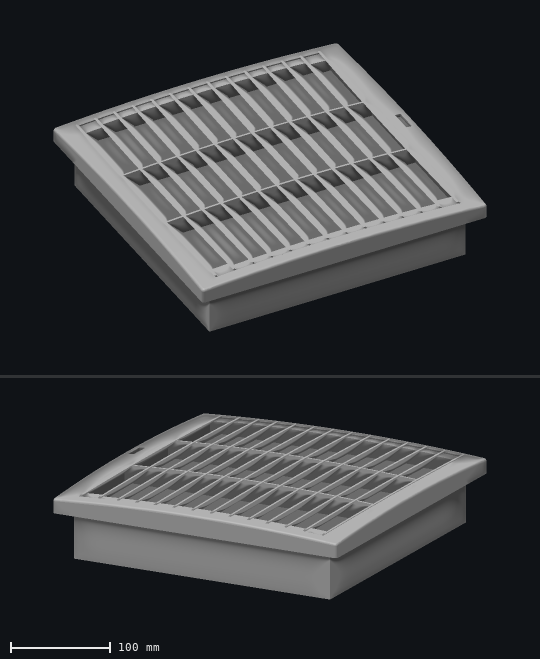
import cadquery as cq
import math

COVER_SIDE = 322.0
TOTAL_HEIGHT = 79.2

HOUSING_SIDE = 289.8
HOUSING_HEIGHT = 53.8

BLADE_PROJECTION = 2.3
DOME_RADIUS = 2221.8
CORNER_RADIUS = 3.2
RIM_FILLET = 3.0
COVER_BASE = 50.0
DOME_CENTRE = TOTAL_HEIGHT - BLADE_PROJECTION - DOME_RADIUS

WELL_HALF_WIDTH = 139.0
WELL_BACK = 139.5
LEDGE_HALF_WIDTH = 149.0
LEDGE_DEPTH = 1.45
CORNER_BLOCK_WIDTH = 4.5

BLADE_COUNT = 14
FIRST_TIP = 129.5
LAST_TIP = -144.3
BLADE_WIDTH_ALONG_Y = 2.3
BLADE_DEPTH = 15.0
BLADE_PITCH = (FIRST_TIP - LAST_TIP) / (BLADE_COUNT - 1)
BLADE_TIPS = [FIRST_TIP - i * BLADE_PITCH for i in range(BLADE_COUNT)]

RIB_X = 46.5
RIB_THICKNESS = 2.3

NOTCH_LENGTH = 24.0
NOTCH_BACK = 154.0
NOTCH_WIDTH = 6.5
NOTCH_FLOOR = 68.3


def dome_ball(offset):
    """Ball concentric with the dome, larger than it by the offset."""
    return cq.Workplane("XY", origin=(0, 0, DOME_CENTRE)).sphere(DOME_RADIUS + offset)


def dome_height(y, offset=0.0):
    """Height of an offset dome at mid-width."""
    return DOME_CENTRE + math.sqrt((DOME_RADIUS + offset) ** 2 - y**2)


def face_point(tip, z, shift=0.0):
    """Point (y, z) on the 45-degree upper face of a blade, shifted along Y."""
    return (tip + dome_height(tip, BLADE_PROJECTION) - z + shift, z)


def prism(outline, half_width):
    """Y-Z outline extruded along X to both sides of the middle."""
    return cq.Workplane("YZ").polyline(outline).close().extrude(half_width, both=True)


def slanted_prism(back_tip, front_tip, half_width, extra_width=0.0):
    """Space between two blade faces, from the housing up, widened towards -Y by an extra width."""
    outline = [
        face_point(back_tip, HOUSING_HEIGHT),
        face_point(back_tip, TOTAL_HEIGHT),
        face_point(front_tip, TOTAL_HEIGHT, -extra_width),
        face_point(front_tip, HOUSING_HEIGHT, -extra_width),
    ]
    return prism(outline, half_width)


def make_housing():
    return cq.Workplane("XY").rect(HOUSING_SIDE, HOUSING_SIDE).extrude(HOUSING_HEIGHT)


def make_blank():
    """Rounded square plate with a domed top and a filleted rim."""
    plate = (
        cq.Workplane("XY", origin=(0, 0, COVER_BASE))
        .rect(COVER_SIDE, COVER_SIDE)
        .extrude(TOTAL_HEIGHT - COVER_BASE)
        .edges("|Z")
        .fillet(CORNER_RADIUS)
    )
    return plate.intersect(dome_ball(0)).faces(">Z").edges().fillet(RIM_FILLET)


def well_section(half_width):
    """Space of the well: a vertical back below the first blade, and a front along the last blade."""
    first_blade_drop = WELL_BACK - face_point(FIRST_TIP, TOTAL_HEIGHT)[0]
    outline = [
        (WELL_BACK, HOUSING_HEIGHT),
        (WELL_BACK, TOTAL_HEIGHT - first_blade_drop),
        face_point(FIRST_TIP, TOTAL_HEIGHT),
        face_point(LAST_TIP, TOTAL_HEIGHT),
        face_point(LAST_TIP, HOUSING_HEIGHT),
    ]
    return prism(outline, half_width)


def make_corner_blocks():
    """Blocks that narrow the first and the last gap between blades at both ends."""
    first_gap = slanted_prism(BLADE_TIPS[0], BLADE_TIPS[1], WELL_HALF_WIDTH)
    last_gap = slanted_prism(BLADE_TIPS[-2], BLADE_TIPS[-1], WELL_HALF_WIDTH)
    middle_width = 2 * (WELL_HALF_WIDTH - CORNER_BLOCK_WIDTH)
    middle = cq.Workplane("XY").rect(middle_width, COVER_SIDE).extrude(TOTAL_HEIGHT)
    return first_gap.union(last_gap).cut(middle)


def make_ledges():
    """Shallow recess between the first and the last blade, wider than the well."""
    return slanted_prism(FIRST_TIP, LAST_TIP, LEDGE_HALF_WIDTH).cut(dome_ball(-LEDGE_DEPTH))


def make_notch():
    """Wedge-shaped pocket cut down into the rear rim."""
    outline = [
        (NOTCH_BACK, TOTAL_HEIGHT),
        (NOTCH_BACK, NOTCH_FLOOR),
        (NOTCH_BACK - NOTCH_WIDTH / 2, NOTCH_FLOOR),
        (NOTCH_BACK - NOTCH_WIDTH, dome_height(NOTCH_BACK - NOTCH_WIDTH)),
        (NOTCH_BACK - NOTCH_WIDTH, TOTAL_HEIGHT),
    ]
    return prism(outline, NOTCH_LENGTH / 2)


def make_rib(x):
    """Rib that spans the well from back to front and from the housing up to the dome."""
    return well_section(RIB_THICKNESS / 2).translate((x, 0, 0)).intersect(dome_ball(0))


def make_blade(tip):
    """Tilted slat that follows the dome along its upper and lower edges."""
    slat = slanted_prism(tip, tip, LEDGE_HALF_WIDTH, BLADE_WIDTH_ALONG_Y)
    return slat.intersect(dome_ball(BLADE_PROJECTION)).cut(dome_ball(-BLADE_DEPTH))


def make_cover():
    cover = make_blank().cut(make_housing())
    cover = cover.cut(well_section(WELL_HALF_WIDTH).cut(make_corner_blocks()))
    cover = cover.cut(make_ledges()).cut(make_notch())
    for side in (-1, 1):
        cover = cover.union(make_rib(side * RIB_X))
    for tip in BLADE_TIPS:
        cover = cover.union(make_blade(tip))
    return cover


housing = make_housing()
cover = make_cover()
result = cq.Compound.makeCompound([housing.val(), cover.solids().val()])